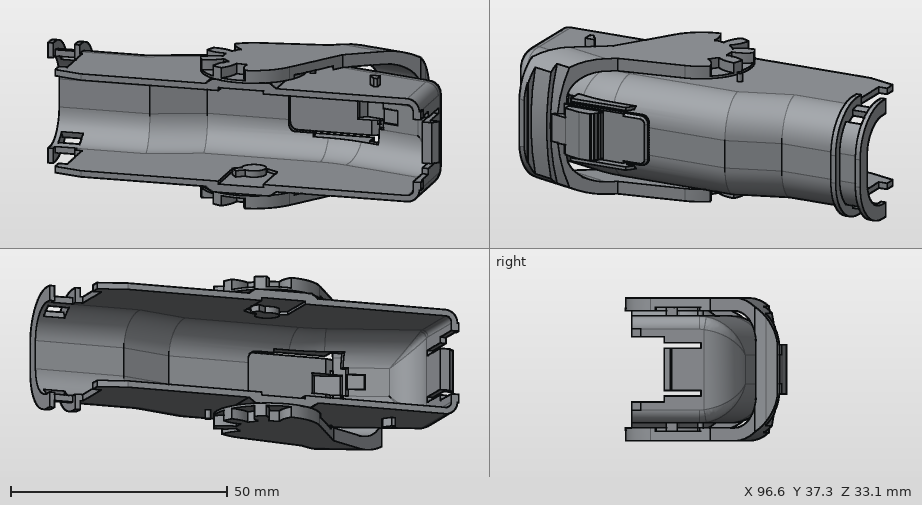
import cadquery as cq
import math

WALL = 1.5
CORNER_R = 9.0
FLAT_HALF = 3.35
HALF_WIDTH = FLAT_HALF + CORNER_R
INNER_HALF = HALF_WIDTH - WALL
FAR = 60.0
OVERLAP = 0.5

LOW_SPRING_Y = 18.85
HIGH_SPRING_Y = 23.0
RAMP_START_X = 23.0
RAMP_END_X = 35.7
BEND_START_X = 63.8
BEND_R = 21.8
SLOPE = math.radians(17)
SIN = math.sin(SLOPE)
COS = math.cos(SLOPE)
BEND_END = (BEND_START_X + BEND_R * SIN, HIGH_SPRING_Y - BEND_R * (1 - COS))
END_X = 94.35
END_R = 10.0
END_EDGE_R = 3.0

PIVOT = (51.4, 10.9)
DISC_R = 12.35
LEVER_INNER_Z = 13.5
LEVER_OUTER_Z = 16.55
GEAR_FLOOR_Z = 14.1
LEVER_CORNER_R = 12.0
LEVER_INNER_R = 7.0
LEVER_SPRING = (68.0, 27.05)


def spring_slope_y(x):
    """Height of the roof spring line on the sloping stretch."""
    return BEND_END[1] - (x - BEND_END[0]) * SIN / COS


def prism(points, z0, z1):
    """Polygon in the XY plane, extruded between two Z levels."""
    return cq.Workplane("XY").workplane(offset=z0).polyline(points).close().extrude(z1 - z0)


def box(x0, x1, y0, y1, z0, z1):
    return cq.Workplane("XY").box(x1 - x0, y1 - y0, z1 - z0, centered=False).translate((x0, y0, z0))


def cylinder(center, radius, z0, z1):
    return cq.Workplane("XY").workplane(offset=z0).center(*center).circle(radius).extrude(z1 - z0)


def both_sides(body):
    return body.union(body.mirror("XY"))


def arch(workplane, base, radius, flat_half, drop=0.0):
    """Closed arch section: flat top, two quarter rounds and legs reaching down by drop."""
    half = flat_half + radius
    diag = radius * math.sqrt(0.5)
    outline = (
        workplane.moveTo(base, -half)
        .threePointArc((base + diag, -flat_half - diag), (base + radius, -flat_half))
        .lineTo(base + radius, flat_half)
        .threePointArc((base + diag, flat_half + diag), (base, half))
    )
    if drop > 0:
        outline = outline.lineTo(base - drop, half).lineTo(base - drop, -half)
    return outline.close()


def spring_path(workplane):
    mid = (
        BEND_START_X + BEND_R * math.sin(SLOPE / 2),
        HIGH_SPRING_Y - BEND_R * (1 - math.cos(SLOPE / 2)),
    )
    past_end_x = END_X + CORNER_R
    return (
        workplane.moveTo(0, LOW_SPRING_Y)
        .lineTo(RAMP_START_X, LOW_SPRING_Y)
        .lineTo(RAMP_END_X, HIGH_SPRING_Y)
        .lineTo(BEND_START_X, HIGH_SPRING_Y)
        .threePointArc(mid, BEND_END)
        .lineTo(past_end_x, spring_slope_y(past_end_x))
    )


def end_envelope(inset):
    """Block whose right side is the end wall, rounded into the sloping roof line."""
    right = END_X - inset
    radius = END_R - inset
    rise = (CORNER_R - inset) / COS
    corner_y = spring_slope_y(right) + rise
    turn = math.pi / 2 - SLOPE
    tangent = radius * math.tan(turn / 2)
    center = (right - radius, corner_y - tangent)
    half_turn = turn / 2
    arc_mid = (center[0] + radius * math.cos(half_turn), center[1] + radius * math.sin(half_turn))
    arc_end = (center[0] + radius * math.cos(turn), center[1] + radius * math.sin(turn))
    half = HALF_WIDTH - inset
    left = -FAR
    return (
        cq.Workplane("XY").workplane(offset=-half)
        .moveTo(left, -FAR)
        .lineTo(right, -FAR)
        .lineTo(right, center[1])
        .threePointArc(arc_mid, arc_end)
        .lineTo(left, spring_slope_y(left) + rise)
        .close()
        .extrude(2 * half)
    )


def channel(inset, side_outline):
    """Roof swept along the spring line, side block below it, trimmed by the end wall."""
    section = arch(cq.Workplane("YZ"), LOW_SPRING_Y, CORNER_R - inset, FLAT_HALF)
    roof = section.sweep(spring_path(cq.Workplane("XY")), transition="right")
    half = HALF_WIDTH - inset
    sides = (
        spring_path(cq.Workplane("XY").workplane(offset=-half))
        .polyline(side_outline, includeCurrent=True)
        .close()
        .extrude(2 * half)
    )
    body = roof.union(sides).intersect(end_envelope(inset))
    return body.edges("|Y and >X").fillet(END_EDGE_R - inset)


FLANGE_W = 1.25
FLANGE_2_X = 6.4
FLANGE_H = 2.05
FLANGE_BOTTOM_Y = 17.1
SIDE_LEFT_X = 8.2
TOE_X = 6.1
TOE_TOP_Y = 4.9
TOE_BOTTOM_Y = 2.0
TOE_RAMP_X = 12.9


def housing_shell():
    past_end_x = END_X + CORNER_R
    outer = channel(0, [
        (past_end_x, 0),
        (TOE_RAMP_X, 0),
        (TOE_X, TOE_BOTTOM_Y),
        (TOE_X, TOE_TOP_Y),
        (SIDE_LEFT_X, TOE_TOP_Y),
        (SIDE_LEFT_X, FLANGE_BOTTOM_Y),
        (FLANGE_2_X, FLANGE_BOTTOM_Y),
        (FLANGE_2_X, LOW_SPRING_Y),
    ])
    inner = channel(WALL, [(past_end_x, -FAR), (0, -FAR)])
    for x in (0, FLANGE_2_X):
        flange = arch(
            cq.Workplane("YZ").workplane(offset=x),
            LOW_SPRING_Y, CORNER_R + FLANGE_H, FLAT_HALF, LOW_SPRING_Y - FLANGE_BOTTOM_Y,
        ).extrude(FLANGE_W)
        outer = outer.union(flange)
    return outer.cut(inner)


WINDOW_BOTTOM_Y = 21.6
WINDOW_TOP_Y = 25.9
WINDOW_SLOPE_W = 5.0
WINDOW_BOTTOM_FALL = 0.8
WINDOW_TOP_FALL = 2.1


def cable_windows():
    """Windows with sloping faces through the rounded walls between the two flanges."""
    outer_z = HALF_WIDTH + OVERLAP
    inner_z = outer_z - WINDOW_SLOPE_W
    window = (
        cq.Workplane("YZ").workplane(offset=FLANGE_W)
        .moveTo(WINDOW_BOTTOM_Y - WINDOW_BOTTOM_FALL, inner_z)
        .lineTo(WINDOW_BOTTOM_Y, outer_z)
        .lineTo(WINDOW_TOP_Y, outer_z)
        .lineTo(WINDOW_TOP_Y - WINDOW_TOP_FALL, inner_z)
        .close()
        .extrude(FLANGE_2_X - FLANGE_W)
    )
    return both_sides(window)


ROOF_TOP_Y = HIGH_SPRING_Y + CORNER_R
ROOF_CUT_Y = 26.0
TONGUE_X0 = 54.1
TONGUE_X1 = 75.7
TONGUE_HALF = 6.05
TONGUE_CORNER_R = 1.8
TONGUE_EDGE = 0.6
TONGUE_TOP_Y = 33.0
TONGUE_UNDER_Y = 31.7
TIP_BEVEL_L = 2.0
TIP_BEVEL_H = 0.78
SLIT_X0 = 60.2
SLIT_X1 = 76.6
SLIT_TAIL_X = 77.7
SLIT_HALF = 6.85
GUARD_HALF = 7.65
GUARD_X0 = 57.9
GUARD_X1 = 73.9
GUARD_RAMP_L = 1.7
GUARD_FRONT_Y = 30.8
GUARD_FOOT_Y = 30.2
GUARD_FOOT_FALL_X = 66.0
GUARD_FOOT_END_Y = 28.5


def tongue_plate(y0, y1):
    plate = box(TONGUE_X0, TONGUE_X1, y0, y1, -TONGUE_HALF, TONGUE_HALF)
    return plate.edges("|Y and <X").fillet(TONGUE_CORNER_R)


def guard_walls():
    """Low walls along the outside of the two slits."""
    wall = prism(
        [
            (GUARD_X0, GUARD_FOOT_Y), (GUARD_X0, GUARD_FRONT_Y), (GUARD_X0 + GUARD_RAMP_L, TONGUE_TOP_Y),
            (GUARD_X1, TONGUE_TOP_Y), (GUARD_X1, GUARD_FOOT_END_Y), (GUARD_FOOT_FALL_X, GUARD_FOOT_Y),
        ],
        SLIT_HALF, GUARD_HALF,
    )
    return both_sides(wall)


def add_tongue(body):
    """Raised pad on the roof, freed by a slit on each side and hollowed from inside."""
    pad = tongue_plate(ROOF_TOP_Y - WALL, TONGUE_TOP_Y).edges("<X and >Y").chamfer(TONGUE_EDGE)
    body = body.union(guard_walls()).union(pad)
    body = body.cut(box(SLIT_X0, SLIT_X1, ROOF_CUT_Y, FAR, -SLIT_HALF, SLIT_HALF))
    body = body.cut(box(SLIT_X1, SLIT_TAIL_X, ROOF_CUT_Y, FAR, -FLAT_HALF, FLAT_HALF))
    body = body.cut(tongue_plate(ROOF_CUT_Y, TONGUE_UNDER_Y))
    tongue = box(SLIT_X0, TONGUE_X1, TONGUE_UNDER_Y, TONGUE_TOP_Y, -TONGUE_HALF, TONGUE_HALF)
    tip_bevel = prism(
        [
            (TONGUE_X1 - TIP_BEVEL_L, TONGUE_UNDER_Y), (TONGUE_X1, TONGUE_UNDER_Y),
            (TONGUE_X1, TONGUE_UNDER_Y + TIP_BEVEL_H),
        ],
        -TONGUE_HALF, TONGUE_HALF,
    )
    return body.union(tongue.cut(tip_bevel))


BUTTON_X0 = 65.5
BUTTON_CREST_X0 = 67.5
BUTTON_CREST_X1 = 70.4
BUTTON_X1 = 74.5
BUTTON_END_Y = 34.7
BUTTON_TOP_Y = 35.83
BUTTON_HALF = 5.7
GRIP_STEPS = 3
GRIP_STEP_L = 0.6
GRIP_STEP_H = 0.65
GRIP_Y0 = 34.1
TAIL_X1 = 78.6
TAIL_UNDER_X1 = 77.0
TAIL_UNDER_Y = 32.2
TAIL_END_Y = 33.6
CAVITY_X0 = 70.4
CAVITY_CREST = (71.9, 34.5)
CAVITY_FRONT_Y = 33.2
CAVITY_END_Y = 32.8
CAVITY_FLOOR_Y = 31.0
CAVITY_HALF = 2.4


def tongue_button():
    """Push button on the tongue, with grip steps and a narrow sloping tail."""
    base = TONGUE_TOP_Y - OVERLAP
    outline = [(BUTTON_X1, BUTTON_END_Y), (BUTTON_X1, base), (BUTTON_X0, base)]
    for step in range(GRIP_STEPS):
        x = BUTTON_X0 + GRIP_STEP_L * step
        y = GRIP_Y0 + GRIP_STEP_H * step
        outline += [(x, y), (x + GRIP_STEP_L, y)]
    outline += [(BUTTON_CREST_X0, BUTTON_TOP_Y), (BUTTON_CREST_X1, BUTTON_TOP_Y)]
    wide = prism(outline, -BUTTON_HALF, BUTTON_HALF)
    tail = prism(
        [
            (BUTTON_X1, TAIL_UNDER_Y), (BUTTON_X1, BUTTON_END_Y),
            (TAIL_X1, TAIL_END_Y), (TAIL_UNDER_X1, TAIL_UNDER_Y),
        ],
        -FLAT_HALF, FLAT_HALF,
    )
    return wide.union(tail)


def button_cavity():
    """Hollow reaching up into the button from below."""
    return prism(
        [
            (CAVITY_X0, CAVITY_FLOOR_Y), (CAVITY_X0, CAVITY_FRONT_Y), CAVITY_CREST,
            (SLIT_TAIL_X, CAVITY_END_Y), (SLIT_TAIL_X, CAVITY_FLOOR_Y),
        ],
        -CAVITY_HALF, CAVITY_HALF,
    )


CEILING_POCKET_X0 = 77.0
CEILING_POCKET_X1 = 81.5
CEILING_POCKET_HALF = 1.75
CEILING_POCKET_DEPTH = 0.6


def ceiling_pocket():
    """Shallow pocket in the sloping ceiling behind the tongue."""
    x0, x1 = CEILING_POCKET_X0, CEILING_POCKET_X1
    rise = (CORNER_R - WALL) / COS + CEILING_POCKET_DEPTH
    return prism(
        [
            (x0, HIGH_SPRING_Y), (x0, spring_slope_y(x0) + rise),
            (x1, spring_slope_y(x1) + rise), (x1, HIGH_SPRING_Y),
        ],
        -CEILING_POCKET_HALF, CEILING_POCKET_HALF,
    )


TAB_HALF = 4.9
TAB_BOTTOM_Y = 7.5
SLOT_TOP_Y = 16.0
SLOT_OUTER_Z = 6.15
OPENING_HALF = 7.5
HOOK_TIP_X = 96.6
HOOK_BEVEL_X = 95.2
HOOK_TIP_Y = 8.9
HOOK_TOP_Y = 9.3
FOOT_H = 2.1
FOOT_OUTER_Z = 9.4
FOOT_T = 0.35


def end_wall_openings():
    x0, x1 = END_X - 2 * WALL, END_X + WALL
    opening = box(x0, x1, -OVERLAP, TAB_BOTTOM_Y, -OPENING_HALF, OPENING_HALF)
    slot = box(x0, x1, TAB_BOTTOM_Y - OVERLAP, SLOT_TOP_Y, TAB_HALF, SLOT_OUTER_Z)
    return opening.union(both_sides(slot))


def end_wall_details():
    """Hook on the snap tab, and a thin foot at the bottom of the wall on each side."""
    root_x = END_X - WALL / 2
    hook = prism(
        [
            (root_x, TAB_BOTTOM_Y), (HOOK_BEVEL_X, TAB_BOTTOM_Y), (HOOK_TIP_X, HOOK_TIP_Y),
            (HOOK_TIP_X, HOOK_TOP_Y), (root_x, HOOK_TOP_Y),
        ],
        -TAB_HALF, TAB_HALF,
    )
    foot = box(root_x, END_X + FOOT_T, 0, FOOT_H, OPENING_HALF, FOOT_OUTER_Z)
    return hook.union(both_sides(foot))


PIN_TOP_Z = 14.35
STOP_PIN_D = 1.3
STOP_PIN_DX = 12.7
STOP_PIN_Y = 15.95
STUD_X0 = 79.65
STUD_BEVEL_X = 81.1
STUD_X1 = 81.95
STUD_Y0 = 8.0
STUD_BEVEL_Y = 9.9
STUD_Y1 = 10.55
HUB_R = 2.85
HUB_TIP_Z = 10.05
KEY_L = 4.9
KEY_W = 2.4
KEY_ANGLE = 215
RECESS_HALF = 5.4
RECESS_TOP_HALF = 2.5
RECESS_SIDE_H = 0.7
RECESS_TOP_H = 2.6
RECESS_Z = 11.55
BULGE_R = 8.55
BULGE_SLOPE_W = 1.55


def pivot_bulge():
    """Round-topped raised pad with sloping sides, running down to the lower edge."""
    x, y = PIVOT
    height = LEVER_INNER_Z - HALF_WIDTH
    pad = (
        cq.Workplane("XY").workplane(offset=HALF_WIDTH)
        .moveTo(x - BULGE_R, -FAR)
        .lineTo(x - BULGE_R, y)
        .threePointArc((x, y + BULGE_R), (x + BULGE_R, y))
        .lineTo(x + BULGE_R, -FAR)
        .close()
        .extrude(height, taper=math.degrees(math.atan(BULGE_SLOPE_W / height)))
    )
    return pad.intersect(box(0, END_X, 0, FAR, 0, FAR))


def pivot_recess():
    """Shallow recess from the lower edge up to the pivot head, with bevelled top corners."""
    x, y = PIVOT
    side_y, top_y = y + RECESS_SIDE_H, y + RECESS_TOP_H
    outline = [
        (x - RECESS_HALF, -OVERLAP), (x - RECESS_HALF, side_y), (x - RECESS_TOP_HALF, top_y),
        (x + RECESS_TOP_HALF, top_y), (x + RECESS_HALF, side_y), (x + RECESS_HALF, -OVERLAP),
    ]
    return prism(outline, INNER_HALF - OVERLAP, RECESS_Z)


def pivot_hub():
    """Head of the pivot inside the housing, with a locking key."""
    z0, z1 = HUB_TIP_Z, RECESS_Z + OVERLAP
    key = (
        cq.Workplane("XY").box(KEY_L, KEY_W, z1 - z0, centered=(False, True, False))
        .rotate((0, 0, 0), (0, 0, 1), KEY_ANGLE)
        .translate((PIVOT[0], PIVOT[1], z0))
    )
    return cylinder(PIVOT, HUB_R, z0, z1).union(key)


def stop_studs():
    """A bevelled stud near the end wall and a round stop pin on either side of the pivot."""
    z0 = HALF_WIDTH - OVERLAP
    studs = prism(
        [
            (STUD_X0, STUD_BEVEL_Y), (STUD_X0, STUD_Y1), (STUD_X1, STUD_Y1),
            (STUD_X1, STUD_Y0), (STUD_BEVEL_X, STUD_Y0),
        ],
        z0, PIN_TOP_Z,
    )
    for side in (-1, 1):
        center = (PIVOT[0] + side * STOP_PIN_DX, STOP_PIN_Y)
        studs = studs.union(cylinder(center, STOP_PIN_D / 2, z0, PIN_TOP_Z))
    return studs


SHOULDER = (65.5, 25.7)
ELBOW = (70.6, 18.2)
BRIDGE_START = (77.3, 33.2)
BRIDGE_TOP = (79.9, 34.2)
LIP_OUTLINE = [(85.2, 33.1), (85.5, 34.2), (87.05, 33.7), (86.8, 31.0), (86.4, 28.5)]
TROUGH_START = 4.0
TROUGH_SPLIT = 9.3
TROUGH_END = 14.4
DEEP_EDGE, DEEP_CROWN, DEEP_HALF = 6.5, 8.7, 14.6
SHALLOW_EDGE, SHALLOW_CROWN, SHALLOW_HALF = 8.5, 9.95, 13.0
GAP_COUNT = 4
GAP_PITCH = 40.5
FIRST_GAP = 141
GROOVE_R = 18.3
GROOVE_X0 = 62.6
GROOVE_TOP_Y = 18.0


def tangent_point(point, side):
    """Point where the line from a point touches the disc; side picks one of the two."""
    dx, dy = point[0] - PIVOT[0], point[1] - PIVOT[1]
    angle = math.atan2(dy, dx) + side * math.acos(DISC_R / math.hypot(dx, dy))
    return (PIVOT[0] + DISC_R * math.cos(angle), PIVOT[1] + DISC_R * math.sin(angle))


def lever_plane(along):
    """Plane across the lever, at a distance along the roof slope from the spring point."""
    origin = (LEVER_SPRING[0], LEVER_SPRING[1], 0)
    slope_plane = cq.Plane(origin=origin, xDir=(SIN, COS, 0), normal=(COS, -SIN, 0))
    return cq.Workplane(slope_plane).workplane(offset=along)


def lever_arch(radius, half):
    """Long arch lying parallel to the sloping roof, around the lever spring line."""
    return arch(lever_plane(-FAR), 0, radius, half - radius, FAR).extrude(2 * FAR)


def trough(along0, along1, edge, crown, half):
    """Crowned cut across the lever bridge, from edge height at the sides to crown height."""
    return (
        lever_plane(along0)
        .moveTo(edge, -half)
        .threePointArc((crown, 0), (edge, half))
        .lineTo(FAR, half)
        .lineTo(FAR, -half)
        .close()
        .extrude(along1 - along0)
    )


def gear_gaps():
    """Gaps between the gear teeth on the rim of the disc."""
    root_r, root_half = 7.1, 1.3
    neck_r, neck_half = 9.9, 1.8
    rim_r, rim_half = 12.7, 3.65
    gap = (
        cq.Workplane("XY").workplane(offset=GEAR_FLOOR_Z)
        .moveTo(root_r, -root_half)
        .threePointArc((neck_r, -neck_half), (rim_r, -rim_half))
        .lineTo(rim_r, rim_half)
        .threePointArc((neck_r, neck_half), (root_r, root_half))
        .close()
        .extrude(LEVER_OUTER_Z)
    )
    gaps = cq.Workplane("XY")
    for index in range(GAP_COUNT):
        angle = FIRST_GAP + index * GAP_PITCH
        gaps = gaps.union(gap.rotate((0, 0, 0), (0, 0, 1), angle).translate((PIVOT[0], PIVOT[1], 0)))
    return gaps


def stop_groove():
    """Arc groove inside the arm that clears the stop pin."""
    ring = cylinder(PIVOT, GROOVE_R, LEVER_INNER_Z, PIN_TOP_Z).cut(cylinder(PIVOT, DISC_R, 0, FAR))
    return ring.intersect(box(GROOVE_X0, END_X, 0, GROOVE_TOP_Y, 0, FAR))


def lever():
    """Two arms with gear discs, joined over the roof by a bridge with an end lip."""
    upper = tangent_point(SHOULDER, 1)
    lower = tangent_point(ELBOW, -1)
    outline = [PIVOT, upper, SHOULDER, BRIDGE_START, BRIDGE_TOP] + LIP_OUTLINE + [ELBOW, lower]
    body = prism(outline, -LEVER_OUTER_Z, LEVER_OUTER_Z).union(
        cylinder(PIVOT, DISC_R, -LEVER_OUTER_Z, LEVER_OUTER_Z)
    )
    body = body.intersect(lever_arch(LEVER_CORNER_R, LEVER_OUTER_Z))
    body = body.cut(lever_arch(LEVER_INNER_R, LEVER_INNER_Z))
    body = body.cut(trough(TROUGH_START, TROUGH_SPLIT, DEEP_EDGE, DEEP_CROWN, DEEP_HALF))
    body = body.cut(trough(TROUGH_SPLIT, TROUGH_END, SHALLOW_EDGE, SHALLOW_CROWN, SHALLOW_HALF))
    return body.cut(both_sides(gear_gaps().union(stop_groove())))


result = housing_shell().cut(cable_windows())
result = add_tongue(result)
result = result.union(tongue_button()).cut(ceiling_pocket())
result = result.cut(end_wall_openings()).union(end_wall_details())
result = result.union(both_sides(pivot_bulge())).cut(both_sides(pivot_recess()))
result = result.union(both_sides(pivot_hub())).union(both_sides(stop_studs()))
result = result.union(lever()).cut(button_cavity())